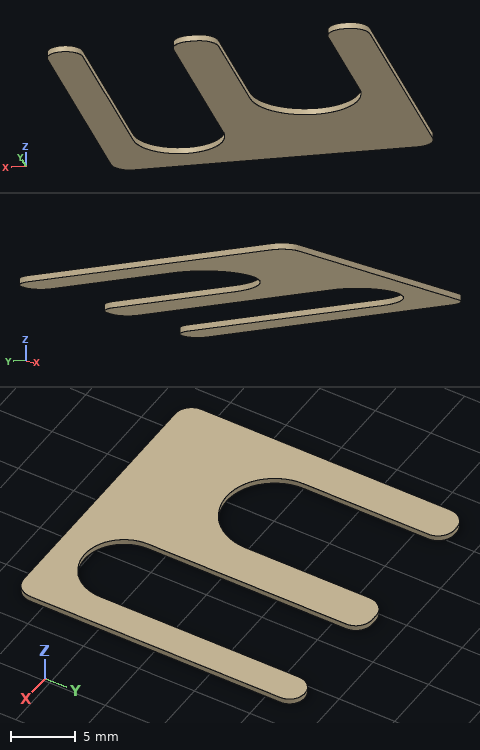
import cadquery as cq

side = 25.4
thickness = 0.5
corner_radius = 1.5

left_prong_width = 3.3
wide_slot_width = 8.64
middle_prong_width = 3.55
narrow_slot_width = 7.1
right_prong_width = (
    side - left_prong_width - wide_slot_width - middle_prong_width - narrow_slot_width
)
right_tip_radius = 1.37

wide_slot_floor = 8.38
narrow_slot_floor = 2.55

left_edge = -side / 2
right_edge = side / 2
bottom_edge = -side / 2
top_edge = side / 2

wide_slot_left = left_edge + left_prong_width
middle_prong_right = wide_slot_left + wide_slot_width + middle_prong_width


def slot_cutter(left, width, floor):
    """Slot with a semicircular bottom, running out through the +Y edge."""
    radius = width / 2
    bottom = bottom_edge + floor
    return (
        cq.Workplane("XY")
        .moveTo(left, top_edge)
        .lineTo(left, bottom + radius)
        .threePointArc((left + radius, bottom), (left + width, bottom + radius))
        .lineTo(left + width, top_edge)
        .close()
        .extrude(thickness)
    )


def round_corners(body, x_min, x_max, y, radius):
    """Round the vertical edges at height y whose X lies from x_min to x_max."""
    margin = 0.03
    selector = cq.selectors.BoxSelector(
        (x_min - margin, y - margin, -margin),
        (x_max + margin, y + margin, thickness + margin),
    )
    return body.edges("|Z").edges(selector).fillet(radius)


plate = cq.Workplane("XY").box(side, side, thickness, centered=(True, True, False))
plate = plate.cut(slot_cutter(wide_slot_left, wide_slot_width, wide_slot_floor))
plate = plate.cut(slot_cutter(middle_prong_right, narrow_slot_width, narrow_slot_floor))

plate = round_corners(plate, left_edge, right_edge, bottom_edge, corner_radius)
plate = round_corners(plate, left_edge, middle_prong_right, top_edge, corner_radius)
right_prong_left = right_edge - right_prong_width
plate = round_corners(plate, right_prong_left, right_edge, top_edge, right_tip_radius)

result = plate